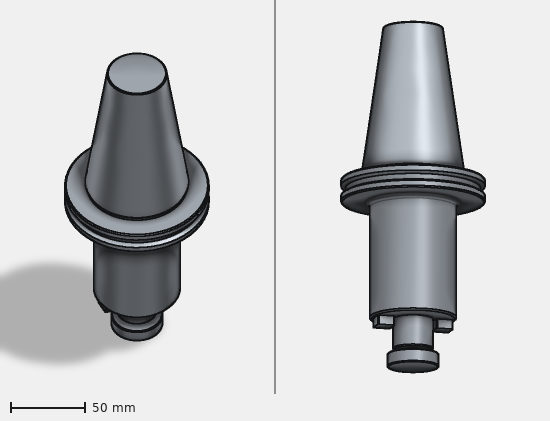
import cadquery as cq

total_height = 234.8
screw_head_height = 9.2
screw_gap = 2.8
pilot_length = 21.1
body_length = 100.0
pilot_bottom = screw_head_height + screw_gap
drive_face = pilot_bottom + pilot_length
gauge_plane = drive_face + body_length

taper_ratio = 7 / 24
gauge_radius = 35.0
taper_length = total_height - gauge_plane
taper_tip_radius = gauge_radius - taper_ratio * taper_length / 2
tip_chamfer = 0.7
neck_radius = 34.0
neck_taper_height = 1.5

flange_radius = 97.5 / 2
flange_top = gauge_plane - 3.3
flange_thickness = 16.0
flange_bottom = flange_top - flange_thickness
flange_chamfer = 1.0
groove_center = gauge_plane - 11.3
groove_depth = 3.0
groove_floor_width = 3.8
groove_mouth_width = 7.0

shank_radius = 29.3
shank_fillet = 3.3
shank_chamfer = 1.2
pilot_radius = 13.5
pilot_chamfer = 1.0
screw_radius = 6.0
screw_head_radius = 17.4
screw_head_chamfer = 0.7

key_width = 12.0
key_height = 6.3
key_inner = 14.8
key_outer = 26.5
key_chamfer = 0.7


def disc(radius, bottom, top):
    """Solid cylinder about Z between two heights."""
    return cq.Workplane("XY").workplane(offset=bottom).circle(radius).extrude(top - bottom)


def taper_with_neck():
    cone = (
        cq.Workplane("XZ")
        .moveTo(0, flange_top)
        .lineTo(neck_radius, flange_top)
        .lineTo(neck_radius, gauge_plane - neck_taper_height)
        .lineTo(gauge_radius, gauge_plane)
        .lineTo(taper_tip_radius, total_height)
        .lineTo(0, total_height)
        .close()
        .revolve(360, (0, 0, 0), (0, 1, 0))
    )
    return cone.faces(">Z").chamfer(tip_chamfer)


def flange():
    rim = disc(flange_radius, flange_bottom, flange_top).faces("<Z or >Z").edges().chamfer(flange_chamfer)
    groove = (
        cq.Workplane("XZ")
        .moveTo(flange_radius - groove_depth, groove_center - groove_floor_width / 2)
        .lineTo(flange_radius, groove_center - groove_mouth_width / 2)
        .lineTo(flange_radius, groove_center + groove_mouth_width / 2)
        .lineTo(flange_radius - groove_depth, groove_center + groove_floor_width / 2)
        .close()
        .revolve(360, (0, 0, 0), (0, 1, 0))
    )
    return rim.cut(groove)


def shank():
    """Cylinder with a chamfered lower end and a concave fillet under the flange."""
    return (
        cq.Workplane("XZ")
        .moveTo(0, drive_face)
        .lineTo(shank_radius - shank_chamfer, drive_face)
        .lineTo(shank_radius, drive_face + shank_chamfer)
        .lineTo(shank_radius, flange_bottom - shank_fillet)
        .radiusArc((shank_radius + shank_fillet, flange_bottom), shank_fillet)
        .lineTo(0, flange_bottom)
        .close()
        .revolve(360, (0, 0, 0), (0, 1, 0))
    )


def pilot():
    return disc(pilot_radius, pilot_bottom, drive_face).faces("<Z").chamfer(pilot_chamfer)


def screw():
    head = disc(screw_head_radius, 0, screw_head_height).edges().chamfer(screw_head_chamfer)
    return head.union(disc(screw_radius, screw_head_height, pilot_bottom))


def drive_key(side):
    """Block under the drive face, on the +Y side (side = 1) or the -Y side (side = -1)."""
    return (
        cq.Workplane("XY")
        .workplane(offset=drive_face - key_height)
        .center(0, side * (key_inner + key_outer) / 2)
        .rect(key_width, key_outer - key_inner)
        .extrude(key_height)
        .edges("|Z")
        .chamfer(key_chamfer)
    )


result = taper_with_neck().union(flange()).union(shank()).union(pilot()).union(screw())
for side in (1, -1):
    result = result.union(drive_key(side))